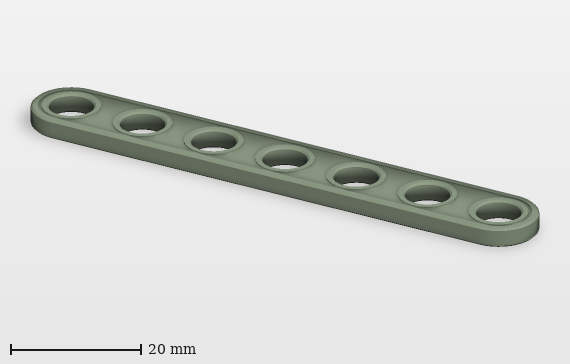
import cadquery as cq

length = 87.5
width = 12.5
thickness = 3.15
edge_chamfer = 0.3

hole_count = 7
hole_pitch = (length - width) / (hole_count - 1)
hole_diameter = 7.0
hole_chamfer = 0.3
collar_diameter = 9.2

rim_width = 1.1
recess_depth = 0.2

hole_centers = [((i - (hole_count - 1) / 2) * hole_pitch, 0, 0) for i in range(hole_count)]


def make_bar():
    """Round-ended bar with chamfered top and bottom outer edges."""
    bar = cq.Workplane("XY").slot2D(length, width).extrude(thickness)
    return bar.faces("<Z or >Z").edges().chamfer(edge_chamfer)


def make_recess():
    """Recess volume inside the rim, with a collar left standing around each hole."""
    floor = cq.Workplane("XY").workplane(offset=thickness - recess_depth)
    pocket = floor.slot2D(length - 2 * rim_width, width - 2 * rim_width).extrude(recess_depth)
    collars = floor.pushPoints(hole_centers).circle(collar_diameter / 2).extrude(recess_depth)
    return pocket.cut(collars)


def make_hole():
    """Through hole flared by a chamfer at both mouths."""
    bore = cq.Workplane("XY").circle(hole_diameter / 2).extrude(thickness)
    mouth_radius = hole_diameter / 2 + hole_chamfer
    lower_flare = cq.Workplane("XY").circle(mouth_radius).extrude(hole_chamfer, taper=45)
    upper_flare = lower_flare.mirror("XY").translate((0, 0, thickness))
    return bore.union(lower_flare).union(upper_flare)


result = make_bar().cut(make_recess())
for center in hole_centers:
    result = result.cut(make_hole().translate(center))